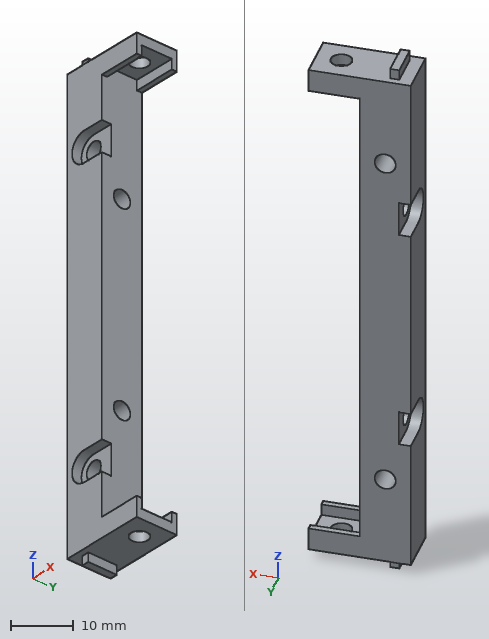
import cadquery as cq

total_height = 94.6
arm_reach = 17.0
column_side = 8.5

tab_height = 1.8
tab_thickness = 1.5
tab_length = 6.1
tab_offset = 2.3

arm_thickness = 4.0

hole_diameter = 3.5
seat_width = 6.1
arm_channel_width = 6.3
seat_depth = 2.0
front_hole_height = 30.0
side_hole_height = 19.9

body_height = total_height - 2 * tab_height
half_body = body_height / 2
column_center = column_side / 2
arm_hole_x = (column_side + arm_reach) / 2
arm_inner_height = half_body - arm_thickness


def make_bracket():
    """C-shaped body with its back on X = 0, front on Y = 0 and mid-height at Z = 0."""
    body = cq.Workplane("XY").box(arm_reach, column_side, body_height, centered=(False, False, True))
    opening = (
        cq.Workplane("XY")
        .box(arm_reach - column_side, column_side, 2 * arm_inner_height, centered=(False, False, True))
        .translate((column_side, 0, 0))
    )
    return body.cut(opening)


def make_tabs():
    """One bar the full height of the part, leaving a tab beyond each end face."""
    return (
        cq.Workplane("XY")
        .box(tab_thickness, tab_length, total_height, centered=(False, True, True))
        .translate((tab_offset, column_center, 0))
    )


def seated_hole(center, inward, run_out):
    """Cutter for a column hole and its round-ended seat.

    center lies on the seated face, inward points into the material,
    and run_out is the direction in which the seat is open.
    """
    plane = cq.Plane(origin=center, xDir=run_out, normal=inward)
    hole = cq.Workplane(plane).circle(hole_diameter / 2).extrude(column_side)
    round_end = cq.Workplane(plane).circle(seat_width / 2).extrude(seat_depth)
    channel = (
        cq.Workplane(plane)
        .rect(column_side, seat_width)
        .extrude(seat_depth)
        .translate(cq.Vector(*run_out) * (column_side / 2))
    )
    return hole.union(round_end).union(channel)


def arm_cutter(end):
    """Cutter for an arm hole and its straight channel; end is 1 for the upper arm, -1 for the lower."""
    inner_face = cq.Plane(
        origin=(arm_hole_x, column_center, end * arm_inner_height), xDir=(1, 0, 0), normal=(0, 0, end)
    )
    hole = cq.Workplane(inner_face).circle(hole_diameter / 2).extrude(arm_thickness)
    channel = cq.Workplane(inner_face).rect(arm_reach - column_side, arm_channel_width).extrude(seat_depth)
    return hole.union(channel)


cutters = []
for end in (1, -1):
    front_center = (column_center, 0, end * front_hole_height)
    side_center = (0, column_center, end * side_hole_height)
    cutters.append(seated_hole(front_center, inward=(0, 1, 0), run_out=(1, 0, 0)))
    cutters.append(seated_hole(side_center, inward=(1, 0, 0), run_out=(0, 1, 0)))
    cutters.append(arm_cutter(end))

result = make_bracket().union(make_tabs())
for cutter in cutters:
    result = result.cut(cutter)